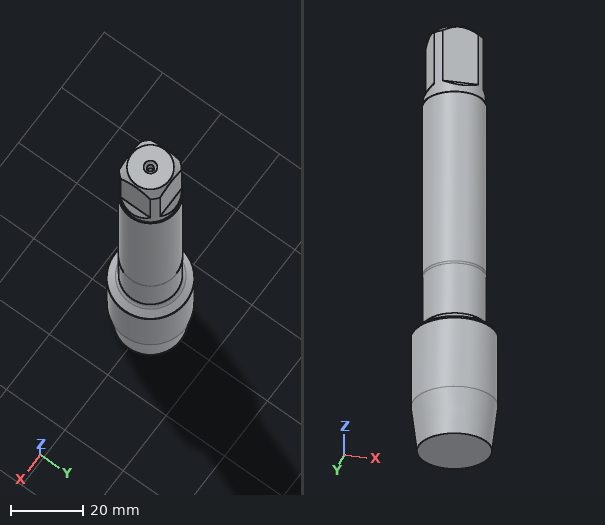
import cadquery as cq

total_length = 130.0
taper_height = 13.9
thread_top = 35.4
cone_bottom = 35.9
fillet_bottom = 37.5
fillet_top = 38.6
neck_top = 54.3
shank_bottom = 55.0
shank_top = 108.0
drive_bottom = 108.3

tip_diameter = 20.8
thread_diameter = 24.2
cone_top_diameter = 19.5
neck_diameter = 17.7
shank_diameter = 18.0
drive_diameter = 17.3

square_width = 14.0
square_length = 18.0
end_face_diameter = 13.0

centre_hole_diameter = 2.0
centre_mouth_diameter = 3.8
centre_hole_depth = 3.9


def make_thread_section():
    """Solid cutting section: a tapered lead below a plain cylinder."""
    tip_radius = tip_diameter / 2
    thread_radius = thread_diameter / 2
    return (
        cq.Workplane("XZ")
        .lineTo(tip_radius, 0)
        .lineTo(thread_radius, taper_height)
        .lineTo(thread_radius, thread_top)
        .lineTo(0, thread_top)
        .close()
        .revolve(360, (0, 0), (0, 1))
    )


def make_turned_shank():
    """Shoulder, neck, shank and chamfered drive end as one turned shape."""
    thread_radius = thread_diameter / 2
    neck_radius = neck_diameter / 2
    shank_radius = shank_diameter / 2
    drive_radius = drive_diameter / 2
    end_radius = end_face_diameter / 2
    end_chamfer = drive_radius - end_radius
    return (
        cq.Workplane("XZ")
        .moveTo(0, thread_top)
        .lineTo(thread_radius, thread_top)
        .lineTo(thread_radius, cone_bottom)
        .lineTo(cone_top_diameter / 2, fillet_bottom)
        .tangentArcPoint((neck_radius, fillet_top), relative=False)
        .lineTo(neck_radius, neck_top)
        .lineTo(shank_radius, shank_bottom)
        .lineTo(shank_radius, shank_top)
        .lineTo(drive_radius, drive_bottom)
        .lineTo(drive_radius, total_length - end_chamfer)
        .lineTo(end_radius, total_length)
        .lineTo(0, total_length)
        .close()
        .revolve(360, (0, 0), (0, 1))
    )


def make_flat_cutter():
    """Cutter for the +X flat, with a 45 degree ramp at its lower end."""
    flat_x = square_width / 2
    outer_x = drive_diameter / 2
    flat_bottom = total_length - square_length
    return (
        cq.Workplane("XZ")
        .moveTo(flat_x, total_length)
        .lineTo(flat_x, flat_bottom)
        .lineTo(outer_x, flat_bottom - (outer_x - flat_x))
        .lineTo(outer_x, total_length)
        .close()
        .extrude(outer_x, both=True)
    )


def make_centre_hole():
    """Countersunk blind hole on the axis, ending in a 90 degree drill point."""
    hole_radius = centre_hole_diameter / 2
    mouth_radius = centre_mouth_diameter / 2
    countersink_depth = mouth_radius - hole_radius
    return (
        cq.Workplane("XZ")
        .moveTo(0, total_length)
        .lineTo(mouth_radius, total_length)
        .lineTo(hole_radius, total_length - countersink_depth)
        .lineTo(hole_radius, total_length - centre_hole_depth)
        .lineTo(0, total_length - centre_hole_depth - hole_radius)
        .close()
        .revolve(360, (0, 0), (0, 1))
    )


def make_shank():
    """Turned shank with four drive flats and a centre hole."""
    shank = make_turned_shank()
    flat_cutter = make_flat_cutter()
    for quarter_turn in range(4):
        shank = shank.cut(flat_cutter.rotate((0, 0, 0), (0, 0, 1), 90 * quarter_turn))
    return shank.cut(make_centre_hole())


thread_section = make_thread_section()
shank = make_shank()

result = cq.Compound.makeCompound([thread_section.val(), shank.val()])